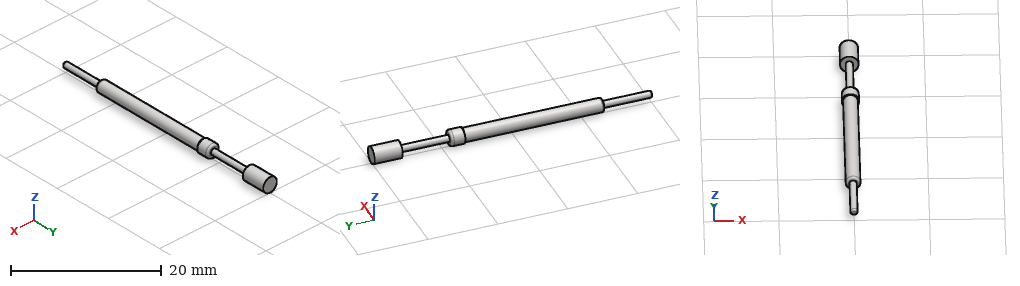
import cadquery as cq

total_length = 40.1

head_diameter = 2.5
stem_diameter = 1.0
collar_diameter = 2.33
barrel_diameter = 2.0
tail_diameter = 1.0

head_length = 4.0
stem_length = 7.0
collar_length = 2.0
tail_length = 7.0
barrel_length = total_length - head_length - stem_length - collar_length - tail_length

collar_end_radius = 0.35
barrel_end_radius = 0.35
tail_tip_radius = 0.3


def cylinder(start, length, diameter):
    """Cylinder on the Y axis that runs from start towards +Y."""
    plane = cq.Workplane("XZ", origin=(0, start, 0))
    return plane.circle(diameter / 2).extrude(-length)


tail_start = -total_length / 2
barrel_start = tail_start + tail_length
collar_start = barrel_start + barrel_length
stem_start = collar_start + collar_length
head_start = stem_start + stem_length

tail = cylinder(tail_start, tail_length, tail_diameter)
tail = tail.faces("<Y").fillet(tail_tip_radius)

barrel = cylinder(barrel_start, barrel_length, barrel_diameter)
barrel = barrel.faces("<Y").fillet(barrel_end_radius)

collar = cylinder(collar_start, collar_length, collar_diameter)
collar = collar.faces(">Y").fillet(collar_end_radius)

stem = cylinder(stem_start, stem_length, stem_diameter)
head = cylinder(head_start, head_length, head_diameter)

result = tail.union(barrel).union(collar).union(stem).union(head)